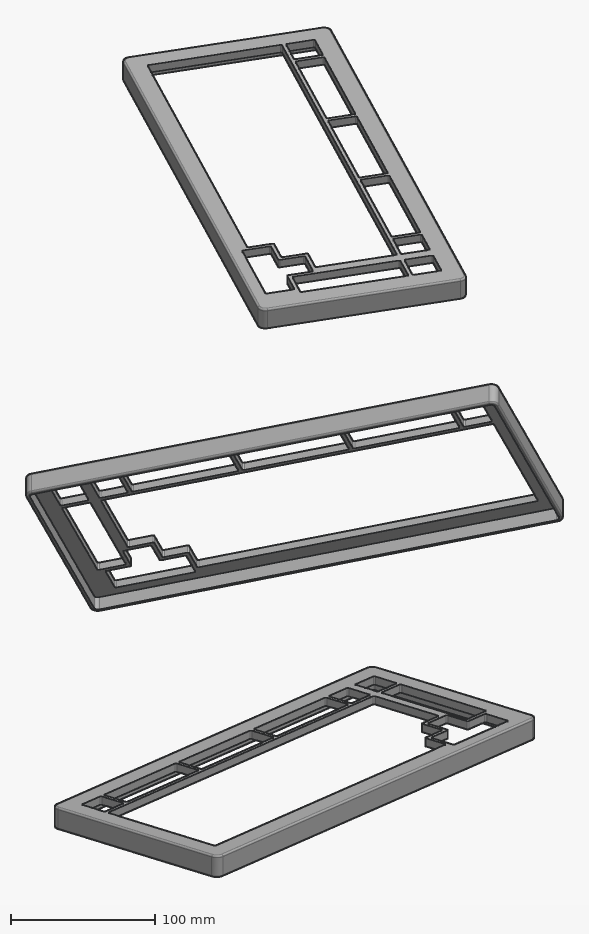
import cadquery as cq

length = 345.7
width = 150.5
height = 16.5
corner_radius = 5.5
edge_fillet = 1.5

plate_thickness = 6.2
skirt_thickness = 2.8
hollow_corner_radius = corner_radius - skirt_thickness

border = 15.0
key_clearance = 0.85
window_corner_radius = 1.0

group_gap = 0.25
column_gap = 0.5
function_row = 1
function_groups = [1, 4, 4, 4, 1]
main_columns = 15
main_rows = 5
main_top = function_row + group_gap
main_bottom = main_top + main_rows
nav_rows = 4
nav_left = main_columns + column_gap
columns = nav_left + 1
nav_bottom = main_top + nav_rows
arrow_columns = 3
arrow_right = columns - group_gap
arrow_left = arrow_right - arrow_columns
arrow_bottom = main_bottom + group_gap

pitch = (length - 2 * (border + key_clearance)) / columns
layout_left = -length / 2 + border + key_clearance
layout_top = width / 2 - border - key_clearance


def x_at(column):
    return layout_left + column * pitch


def y_at(row):
    return layout_top - row * pitch


def window(corners):
    """Cutter around a block of keys: corners are (column, row), widened by the key clearance."""
    points = [(x_at(column), y_at(row)) for column, row in corners]
    return (
        cq.Workplane("XY")
        .polyline(points)
        .close()
        .offset2D(key_clearance, "intersection")
        .extrude(height)
        .edges("|Z")
        .fillet(window_corner_radius)
    )


def block(left, top, right, bottom):
    """Corners of a rectangular block of keys."""
    return [(left, top), (right, top), (right, bottom), (left, bottom)]


def frame():
    """Rounded slab with its top and bottom outer edges rounded over."""
    body = cq.Workplane("XY").box(length, width, height, centered=(True, True, False))
    body = body.edges("|Z").fillet(corner_radius)
    return body.faces("<Z or >Z").edges().fillet(edge_fillet)


def hollow():
    """Cutter for the space under the plate, inside the skirt."""
    return (
        cq.Workplane("XY")
        .rect(length - 2 * skirt_thickness, width - 2 * skirt_thickness)
        .extrude(height - plate_thickness)
        .edges("|Z")
        .fillet(hollow_corner_radius)
    )


def function_row_windows():
    """One window per key group, with a single key at the end above the navigation column."""
    windows = []
    left = 0
    for keys in function_groups:
        windows.append(window(block(left, 0, left + keys, function_row)))
        left += keys + group_gap
    windows.append(window(block(nav_left, 0, columns, function_row)))
    return windows


def main_window():
    """Main key field, stepped back one key at a time around the arrow keys."""
    return window([
        (0, main_top),
        (main_columns, main_top),
        (main_columns, main_bottom - 2),
        (main_columns - 1, main_bottom - 2),
        (main_columns - 1, main_bottom - 1),
        (main_columns - 2, main_bottom - 1),
        (main_columns - 2, main_bottom),
        (0, main_bottom),
    ])


def arrow_window():
    """Inverted T for the four arrow keys."""
    return window([
        (arrow_left, arrow_bottom - 1),
        (arrow_left + 1, arrow_bottom - 1),
        (arrow_left + 1, arrow_bottom - 2),
        (arrow_right - 1, arrow_bottom - 2),
        (arrow_right - 1, arrow_bottom - 1),
        (arrow_right, arrow_bottom - 1),
        (arrow_right, arrow_bottom),
        (arrow_left, arrow_bottom),
    ])


def nav_window():
    """Navigation column to the right of the main keys."""
    return window(block(nav_left, main_top, columns, nav_bottom))


result = frame().cut(hollow())
for cutter in function_row_windows() + [main_window(), nav_window(), arrow_window()]:
    result = result.cut(cutter)